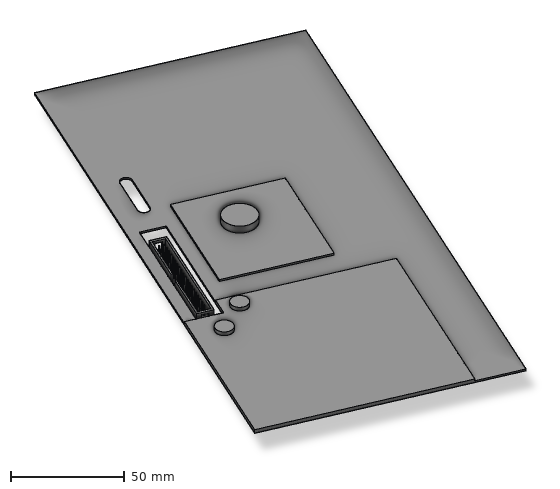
import cadquery as cq

board_length = 269.8
board_width = 128.7
board_thickness = 1.0
raised_thickness = 1.0
raised_top = board_thickness + raised_thickness

panel_left = 173.8
panel_back = 104.5

pad_left = 100.5
pad_front = 25.6
pad_length = 60.0
pad_width = 54.5
cell_diameter = 17.0
cell_height = 3.8
cell_x = 123.3
cell_y = 49.7

button_diameter = 9.0
button_height = 2.0
button_centres = [(181.0, 27.3), (195.6, 14.3)]

slot_length = 27.5
slot_width = 6.0
slot_x = 87.0
slot_y = 14.0

window_left = 113.3
window_right = 183.8
window_front = 6.0
window_back = 18.5

connector_x = 149.0
connector_y = 12.1
shell_length = 58.3
shell_width = 8.5
shell_height = 8.0
rim_level = 0.3
side_wall = 1.0
end_wall = 1.3
cavity_depth = 5.7
key_width = 4.9
key_depth = 6.5
key_inset = 1.5
end_slot_width = 3.5
end_slot_below_rim = 1.3

pin_columns = 20
pin_rows = 2
pin_pitch = 2.55
pin_width = 0.65
pin_top_below_rim = 0.3

overall_height = 17.0
pin_bottom = raised_top + cell_height - overall_height
pin_length = rim_level - pin_top_below_rim - pin_bottom


def corner_box(x0, y0, z0, length, width, height):
    return cq.Workplane("XY").box(length, width, height, centered=False).translate((x0, y0, z0))


def disc(x, y, z, diameter, height):
    return cq.Workplane("XY", origin=(x, y, z)).circle(diameter / 2).extrude(height)


def make_board():
    board = corner_box(0, 0, 0, board_length, board_width, board_thickness)

    panel = (
        cq.Workplane("XY")
        .moveTo(window_right, 0)
        .lineTo(board_length, 0)
        .lineTo(board_length, panel_back)
        .lineTo(panel_left, panel_back)
        .lineTo(panel_left, window_back)
        .lineTo(window_right, window_back)
        .close()
        .extrude(raised_top)
    )
    pad = corner_box(pad_left, pad_front, 0, pad_length, pad_width, raised_top)
    board = board.union(panel).union(pad)

    board = board.union(disc(cell_x, cell_y, 0, cell_diameter, raised_top + cell_height))
    for x, y in button_centres:
        board = board.union(disc(x, y, 0, button_diameter, raised_top + button_height))

    slot = (
        cq.Workplane("XY")
        .center(slot_x, slot_y)
        .slot2D(slot_length, slot_width)
        .extrude(board_thickness)
    )
    window_length = window_right - window_left
    window_width = window_back - window_front
    window = corner_box(window_left, window_front, 0, window_length, window_width, board_thickness)
    return board.cut(slot).cut(window)


def make_connector():
    shell = cq.Workplane("XY").box(shell_length, shell_width, shell_height, centered=(True, True, False))
    cavity = (
        cq.Workplane("XY", origin=(0, 0, shell_height))
        .rect(shell_length - 2 * end_wall, shell_width - 2 * side_wall)
        .extrude(-cavity_depth)
    )
    shell = shell.cut(cavity)

    key_bottom = shell_height - key_depth
    key = corner_box(-key_width / 2, -shell_width / 2, key_bottom, key_width, key_inset, key_depth)
    shell = shell.cut(key)

    end_slot_height = shell_height - end_slot_below_rim
    for x in (-shell_length / 2, shell_length / 2 - end_wall):
        shell = shell.cut(corner_box(x, -end_slot_width / 2, 0, end_wall, end_slot_width, end_slot_height))

    pins = (
        cq.Workplane("XY", origin=(0, 0, shell_height - pin_top_below_rim))
        .rarray(pin_pitch, pin_pitch, pin_columns, pin_rows)
        .rect(pin_width, pin_width)
        .extrude(-pin_length)
    )
    return shell.union(pins).translate((connector_x, connector_y, rim_level - shell_height))


board = make_board()
connector = make_connector()
result = cq.Compound.makeCompound([board.val(), connector.val()])